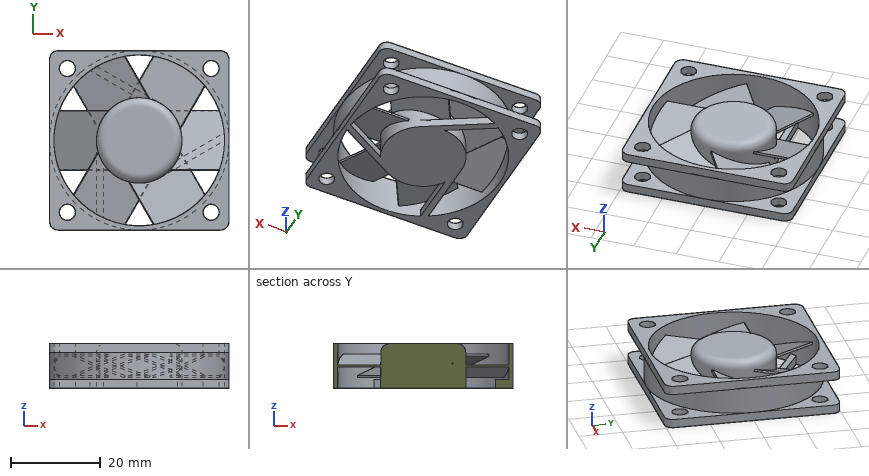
import cadquery as cq

side = 40.0
height = 10.0
flange_thickness = 2.0
corner_radius = 2.0
bore_radius = 19.0
hole_diameter = 3.5
hole_spacing = 32.0

hub_radius = 9.5
hub_rounding = 2.0
blade_count = 6
blade_width = 14.0
blade_thickness = 0.5
blade_tilt = 20.0
blade_root_radius = 6.0

strut_count = 3
strut_width = 1.5
strut_height = 2.0
strut_direction = 30.0


def make_flange(bottom):
    return (
        cq.Workplane("XY", origin=(0, 0, bottom))
        .rect(side, side)
        .extrude(flange_thickness)
        .edges("|Z")
        .fillet(corner_radius)
        .faces(">Z")
        .workplane()
        .rect(hole_spacing, hole_spacing, forConstruction=True)
        .vertices()
        .hole(hole_diameter)
    )


def make_frame():
    gap = height - 2 * flange_thickness
    duct = cq.Workplane("XY", origin=(0, 0, flange_thickness)).circle(side / 2).extrude(gap)
    bore = cq.Workplane("XY").circle(bore_radius).extrude(height)
    upper_flange = make_flange(height - flange_thickness)
    return make_flange(0).union(duct).union(upper_flange).cut(bore)


def make_hub():
    return cq.Workplane("XY").circle(hub_radius).extrude(height).faces(">Z").edges().fillet(hub_rounding)


def make_blade(angle):
    length = side / 2 - blade_root_radius
    return (
        cq.Workplane("XY")
        .box(length, blade_width, blade_thickness, centered=(False, True, True))
        .rotate((0, 0, 0), (1, 0, 0), -blade_tilt)
        .translate((blade_root_radius, 0, height / 2))
        .rotate((0, 0, 0), (0, 0, 1), angle)
    )


def make_strut(heading):
    return (
        cq.Workplane("XY", origin=(0, -hub_radius, 0))
        .box(side / 2, strut_width, strut_height, centered=False)
        .rotate((0, 0, 0), (0, 0, 1), heading)
    )


duct_envelope = cq.Workplane("XY").circle((side / 2 + bore_radius) / 2).extrude(height)
result = make_frame().union(make_hub())
for index in range(blade_count):
    blade = make_blade(index * 360 / blade_count)
    result = result.union(blade.intersect(duct_envelope))
for index in range(strut_count):
    strut = make_strut(strut_direction + index * 360 / strut_count)
    result = result.union(strut.intersect(duct_envelope))